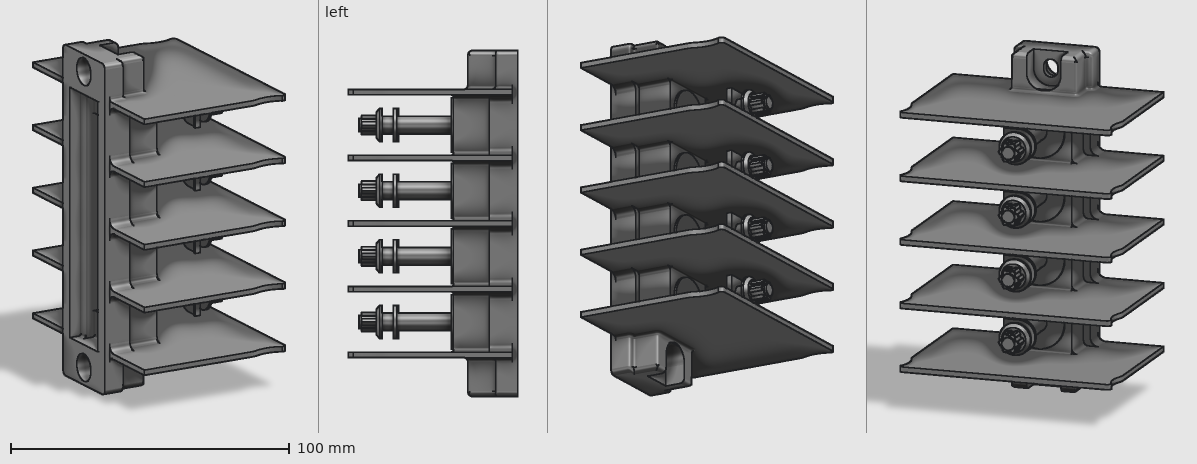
import cadquery as cq
import math

length = 124.2
base_width = 30.0
block_width = 24.8
shoulder_y = 8.0
end_back_y = 18.0
cell_base_y = 10.3
cell_back_y = 23.1
corner_radius = 2.0
edge_radius = 1.0

barrier_count = 5
barrier_span = 94.1
barrier_width = 80.0
barrier_thickness = 2.0
barrier_front_y = 2.0
barrier_back_y = 60.9
barrier_corner_radius = 1.5
notch_depth = 1.4
notch_shoulder = 0.5
notch_lip_y = 59.0
notch_top_y = 58.2
notch_bottom_y = 48.8
notch_runout_y = 46.3

base_root_radius = 3.0
cell_root_radius = 1.9
back_root_radius = 0.7
end_root_radius = 1.5

pocket_width = 20.1
pocket_length = 93.9
pocket_depth = 4.6
trench_width = 12.7
trench_depth = 8.1
well_depth = 13.0
well_length = 74.0
shelf_edge_radius = 0.7
pocket_side_radius = 0.5
pocket_end_radius = 1.0
well_end_radius = 0.7

hole_z = 55.5
counterbore_diameter = 10.2
counterbore_depth = 7.5
slot_width = 5.3
slot_length = 6.6
recess_width = 13.0
recess_corner_radius = 6.2
recess_floor_y = 10.3

foot_radius = 9.8
foot_thickness = 0.9
shank_radius = 3.2
washer_front_y = 43.3
washer_back_y = 44.7
washer_radius = 6.0
lip_front_y = 42.7
lip_thickness = 1.1
flange_front_y = 48.7
flange_rim_y = 49.5
flange_back_y = 50.8
flange_radius = 6.0
flange_top_radius = 4.6
head_flats = 7.0
head_back_y = 56.1
head_chamfer = 0.2
head_groove_width = 1.5
head_groove_depth = 0.5
tip_radius = 2.4
tip_back_y = 57.0

base_half = base_width / 2
block_half = block_width / 2
barrier_pitch = barrier_span / (barrier_count - 1)
half_thickness = barrier_thickness / 2
barrier_places = [barrier_pitch * i - barrier_span / 2 for i in range(barrier_count)]
screw_places = [z + barrier_pitch / 2 for z in barrier_places[:-1]]
end_start_z = barrier_span / 2 + half_thickness


def slab(width, y_front, y_back, z_low, z_high):
    """Box centred on X = 0."""
    box = cq.Workplane("XY").box(width, y_back - y_front, z_high - z_low, centered=(True, False, False))
    return box.translate((0, y_front, z_low))


def fillet_profile(plane, radius):
    """Section of a root fillet: two tangent legs from the corner at the origin, closed by a hollow arc."""
    near = radius * (1 - math.sqrt(0.5))
    section = cq.Workplane(plane).lineTo(radius, 0)
    return section.threePointArc((near, near), (0, radius)).close()


def on_both_sides(solid, plane):
    """The solid together with its mirror image."""
    return solid.union(solid.mirror(plane))


def rounded_bar(width, y_back):
    """Full-length bar whose four corners in the XZ plane are rounded."""
    return slab(width, 0, y_back, -length / 2, length / 2).edges("|Y").fillet(corner_radius)


def end_block():
    """Stepped block above the last barrier, filleted into the barrier's outer face."""
    base = rounded_bar(base_width, shoulder_y).faces(">Y").edges().fillet(edge_radius)
    block = rounded_bar(block_width, end_back_y)
    whole_box = slab(block_width, 0, end_back_y, -length / 2, length / 2)
    block = block.intersect(whole_box.faces(">Y").edges("|X").fillet(corner_radius))
    block = block.intersect(whole_box.faces(">Y").edges("|Z").fillet(edge_radius))
    step_fillet = fillet_profile("XY", edge_radius).extrude(length / 2 - corner_radius)
    step_fillet = on_both_sides(step_fillet.translate((block_half, shoulder_y, 0)), "YZ")
    whole = base.union(block).union(step_fillet)
    return whole.intersect(slab(base_width, 0, end_back_y, end_start_z - half_thickness, length / 2))


def barrier(z):
    """Thin plate with a shallow hollow near the back of each side edge."""
    half = barrier_width / 2
    corner_y = barrier_back_y - barrier_corner_radius
    diagonal = barrier_corner_radius * math.sqrt(0.5)
    corner_x = half - barrier_corner_radius
    runout_slope = math.atan(notch_shoulder / (notch_bottom_y - notch_runout_y))
    runout_middle = (
        half - notch_shoulder / 2 + (notch_bottom_y - notch_runout_y) * math.tan(runout_slope / 2) / 2,
        (notch_bottom_y + notch_runout_y) / 2,
    )
    outline = (
        cq.Workplane("XY")
        .moveTo(0, barrier_front_y)
        .lineTo(half, barrier_front_y)
        .lineTo(half, notch_runout_y)
        .threePointArc(runout_middle, (half - notch_shoulder, notch_bottom_y))
        .threePointArc(
            (half - notch_depth, (notch_bottom_y + notch_top_y) / 2),
            (half - notch_shoulder, notch_top_y),
        )
        .lineTo(half, notch_lip_y)
        .lineTo(half, corner_y)
        .threePointArc((corner_x + diagonal, corner_y + diagonal), (corner_x, barrier_back_y))
        .lineTo(0, barrier_back_y)
        .close()
    )
    plate = outline.extrude(barrier_thickness).translate((0, 0, z - half_thickness))
    return on_both_sides(plate, "YZ")


def side_root_fillet(wall_x, radius, y_front, y_back):
    """Fillets along Y on both side walls, standing on a barrier face at Z = 0."""
    strip = fillet_profile("XZ", radius).extrude(y_front - y_back)
    return on_both_sides(strip.translate((wall_x, y_front, 0)), "YZ")


def cell_root_fillets():
    """All fillets of one cell on the barrier face below it, at Z = 0."""
    fillets = side_root_fillet(base_half, base_root_radius, barrier_front_y, cell_base_y)
    fillets = fillets.union(side_root_fillet(block_half, cell_root_radius, cell_base_y, cell_back_y))
    back_strip = fillet_profile("YZ", back_root_radius).extrude(block_half, both=True)
    return fillets.union(back_strip.translate((0, cell_back_y, 0)))


def pocket_step(width, depth, step_length, end_radius):
    """Box-shaped hollow whose floor is rounded into its long sides and its ends."""
    hollow = slab(width, 0, depth, -step_length / 2, step_length / 2)
    long_sides = hollow.faces(">Y").edges("|Z").fillet(pocket_side_radius)
    ends = hollow.faces(">Y").edges("|X").fillet(end_radius)
    return long_sides.intersect(ends)


def front_pocket():
    """Shallow pocket with a trench along its middle, deepened to a well between the trench ends."""
    shallow = pocket_step(pocket_width, pocket_depth, pocket_length, pocket_end_radius)
    trench = pocket_step(trench_width, trench_depth, pocket_length, pocket_end_radius)
    well = pocket_step(trench_width, well_depth, well_length, well_end_radius)
    shelf_edge = fillet_profile("XY", shelf_edge_radius).extrude(pocket_length / 2, both=True)
    shelf_edge = on_both_sides(shelf_edge.translate((trench_width / 2, pocket_depth, 0)), "YZ")
    return shallow.union(trench).union(well).union(shelf_edge)


def mounting_hole():
    """Counterbored slot in the upper end, with a recess open to the back and to the end."""
    front = cq.Workplane("XZ").center(0, hole_z)
    bore = front.circle(counterbore_diameter / 2).extrude(-counterbore_depth)
    slot = front.slot2D(slot_length, slot_width, 90).extrude(-end_back_y)
    recess_bottom_z = hole_z - recess_width / 2
    recess = slab(recess_width, recess_floor_y, end_back_y, recess_bottom_z, length / 2)
    recess = recess.faces("<Z").edges("|Y").fillet(recess_corner_radius)
    return bore.union(slot).union(recess)


def make_housing():
    last_z = barrier_span / 2
    upper_end = end_block().union(barrier(last_z))
    margin = 0.1
    root_edges = cq.selectors.BoxSelector(
        (-base_half - margin, barrier_front_y - margin, end_start_z - margin),
        (base_half + margin, end_back_y + margin, end_start_z + margin),
        boundingbox=True,
    )
    upper_end = upper_end.edges(root_edges).fillet(end_root_radius)
    body = on_both_sides(upper_end, "XY")
    body = body.union(slab(base_width, 0, cell_base_y, -last_z, last_z))
    body = body.union(slab(block_width, 0, cell_back_y, -last_z, last_z))
    for z in barrier_places[1:-1]:
        body = body.union(barrier(z))
    for z in barrier_places[:-1]:
        lower = cell_root_fillets().translate((0, 0, z + half_thickness))
        upper = cell_root_fillets().mirror("XY").translate((0, 0, z + barrier_pitch - half_thickness))
        body = body.union(lower).union(upper)
    holes = on_both_sides(mounting_hole(), "XY")
    return body.cut(holes).cut(front_pocket())


def turned_core():
    """Foot, shank and flange, revolved about the Y axis."""
    foot_back_y = cell_back_y + foot_thickness
    profile = (
        cq.Workplane("XY")
        .moveTo(0, cell_back_y)
        .lineTo(foot_radius, cell_back_y)
        .lineTo(foot_radius, foot_back_y)
        .lineTo(shank_radius, foot_back_y)
        .lineTo(shank_radius, flange_front_y)
        .lineTo(flange_radius, flange_front_y)
        .lineTo(flange_radius, flange_rim_y)
        .lineTo(flange_top_radius, flange_back_y)
        .lineTo(0, flange_back_y)
        .close()
    )
    return profile.revolve(360, (0, 0, 0), (0, 1, 0))


def disc(radius, y_front, y_back):
    return cq.Workplane("XZ").circle(radius).extrude(y_front - y_back).translate((0, y_front, 0))


def screw_head():
    """Hexagon with a groove along the middle of each flat, and a round tip."""
    height = head_back_y - flange_back_y
    corner_diameter = head_flats / math.cos(math.pi / 6)
    head = cq.Workplane("XZ").polygon(6, corner_diameter).extrude(-height).faces(">Y").chamfer(head_chamfer)
    groove = cq.Workplane("XY").box(
        head_groove_width, height, 2 * head_groove_depth, centered=(True, False, True)
    ).translate((0, 0, head_flats / 2))
    for i in range(6):
        head = head.cut(groove.rotate((0, 0, 0), (0, 1, 0), 60 * i))
    head = head.translate((0, flange_back_y, 0))
    return head.union(disc(tip_radius, flange_back_y, tip_back_y))


def clamp_washer():
    """Washer that is round on the -X side and square on the +X side, where it bends into a front lip."""
    washer = disc(washer_radius, washer_front_y, washer_back_y)
    thickness = washer_back_y - washer_front_y
    square = cq.Workplane("XY").box(washer_radius, thickness, 2 * washer_radius, centered=(False, False, True))
    lip_height = washer_back_y - lip_front_y
    lip = cq.Workplane("XY").box(lip_thickness, lip_height, 2 * washer_radius, centered=(False, False, True))
    lip = lip.translate((washer_radius - lip_thickness, lip_front_y, 0))
    return washer.union(square.translate((0, washer_front_y, 0))).union(lip)


def make_screw(z):
    screw = turned_core().union(clamp_washer()).union(screw_head())
    return screw.translate((0, 0, z))


housing = make_housing()
screws = [make_screw(z) for z in screw_places]

result = cq.Compound.makeCompound([housing.val(), *[screw.val() for screw in screws]])